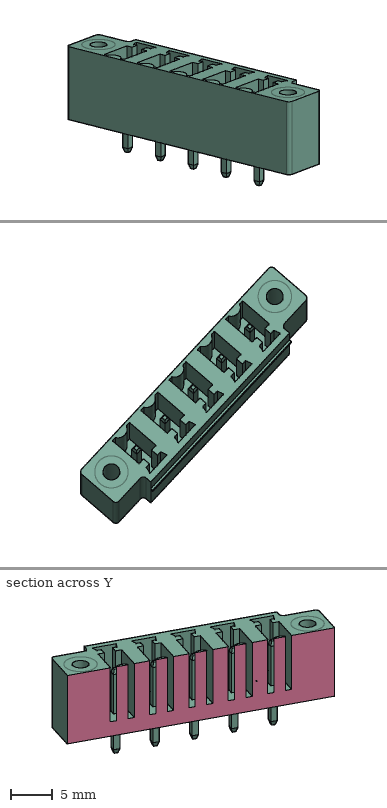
import cadquery as cq

pin_count = 5
pin_pitch = 5.08

flange_length = 34.52
back_length = 24.9
body_height = 9.2
body_depth = 7.25
shoulder_depth = 1.25
front_y = -2.9
back_y = front_y + body_depth
shoulder_y = back_y - shoulder_depth
corner_radius = 0.5

rib_depth = 0.3
rib_height = 0.6
rib_drop = 2.9
rib_top_z = body_height - rib_drop

bushing_diameter = 4.0
screw_spacing = 29.32
screw_diameter = 2.0

floor_thickness = 2.0
pocket_depth = body_height - floor_thickness
pocket_width = 3.05
front_wall = 0.4
pocket_front_y = front_y + front_wall
neck_front_y = 1.77
neck_back_y = 2.72
neck_width = 1.45
dovetail_back_y = 3.54
dovetail_front_width = 2.6

key_radius = 1.1
key_rise = 0.62
key_peak_y = pocket_front_y + key_rise

pin_width = 0.85
pin_tip_width = 0.45
pin_taper = 0.6
pin_recess = 1.35
pin_bottom_z = -3.4
pin_top_z = body_height - pin_recess

pin_positions = [(i - (pin_count - 1) / 2) * pin_pitch for i in range(pin_count)]


def make_housing():
    """Flanged block with a raised middle section at the back and rounded corners."""
    flange = (
        cq.Workplane("XY")
        .box(flange_length, shoulder_y - front_y, body_height, centered=(True, False, False))
        .translate((0, front_y, 0))
        .edges("|Z")
        .fillet(corner_radius)
    )
    middle = (
        cq.Workplane("XY")
        .box(back_length, back_y - front_y, body_height, centered=(True, False, False))
        .translate((0, front_y, 0))
    )
    half_back = back_length / 2
    shoulder_corners = cq.selectors.BoxSelector(
        (-half_back - corner_radius / 2, shoulder_y - corner_radius / 2, 0),
        (half_back + corner_radius / 2, shoulder_y + corner_radius / 2, body_height),
    )
    return flange.union(middle).edges("|Z").edges(shoulder_corners).fillet(corner_radius)


def make_rib():
    """Straight rib across the middle section of the back face."""
    return (
        cq.Workplane("XY")
        .box(back_length, rib_depth, rib_height, centered=(True, False, False))
        .translate((0, back_y, rib_top_z - rib_height))
    )


def make_pocket():
    """Keyhole cavity: wide chamber, narrow neck and a dovetail slot behind it."""
    right_side = [
        (pocket_width / 2, pocket_front_y),
        (pocket_width / 2, neck_front_y),
        (neck_width / 2, neck_front_y),
        (neck_width / 2, neck_back_y),
        (dovetail_front_width / 2, neck_back_y),
        (pocket_width / 2, dovetail_back_y),
    ]
    left_side = [(-x, y) for x, y in reversed(right_side)]
    cavity = (
        cq.Workplane("XY", origin=(0, 0, floor_thickness))
        .polyline(right_side + left_side)
        .close()
        .extrude(pocket_depth)
    )
    key = (
        cq.Workplane("XY", origin=(0, key_peak_y - key_radius, floor_thickness))
        .circle(key_radius)
        .extrude(pocket_depth)
    )
    return cavity.cut(key)


def make_pin_taper(base_z, direction):
    """Tapered pin end that starts at base_z and points up (1) or down (-1)."""
    return (
        cq.Workplane("XY", origin=(0, 0, base_z))
        .rect(pin_width, pin_width)
        .workplane(offset=direction * pin_taper)
        .rect(pin_tip_width, pin_tip_width)
        .loft()
    )


def make_pin():
    """Square pin running from below the housing up into its pocket."""
    shank_bottom_z = pin_bottom_z + pin_taper
    shank_top_z = pin_top_z - pin_taper
    shank = (
        cq.Workplane("XY", origin=(0, 0, shank_bottom_z))
        .rect(pin_width, pin_width)
        .extrude(shank_top_z - shank_bottom_z)
    )
    return shank.union(make_pin_taper(shank_bottom_z, -1)).union(make_pin_taper(shank_top_z, 1))


def make_flange_cylinders(diameter):
    """Upright cylinders at the two screw positions, from the pocket floor level to the top face."""
    return (
        cq.Workplane("XY", origin=(0, 0, floor_thickness))
        .pushPoints([(-screw_spacing / 2, 0), (screw_spacing / 2, 0)])
        .circle(diameter / 2)
        .extrude(pocket_depth)
    )


bushing_seats = make_flange_cylinders(bushing_diameter)
bushings = bushing_seats.cut(make_flange_cylinders(screw_diameter))
pocket = make_pocket()
pin = make_pin()

body = make_housing().union(make_rib()).cut(bushing_seats)
for x in pin_positions:
    body = body.cut(pocket.translate((x, 0, 0)))
    body = body.union(pin.translate((x, 0, 0)))

result = body.union(bushings, clean=False)